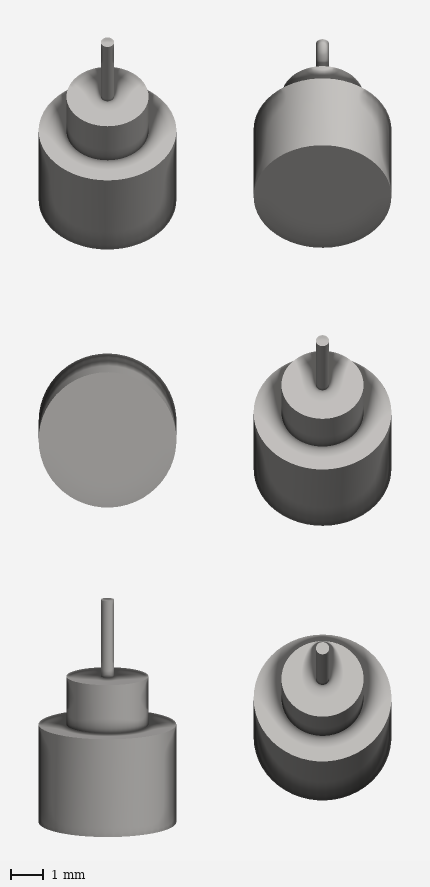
import cadquery as cq

total_height = 6.95
body_diameter = 4.2
body_height = 3.05
collar_diameter = 2.5
collar_height = 1.5
pin_diameter = 0.4
pin_height = total_height - body_height - collar_height


def add_cylinder(part, diameter, height):
    """Stack a coaxial cylinder on the top face of the part."""
    return part.faces(">Z").workplane().circle(diameter / 2).extrude(height)


body = cq.Workplane("XY").circle(body_diameter / 2).extrude(body_height)
body_with_collar = add_cylinder(body, collar_diameter, collar_height)
result = add_cylinder(body_with_collar, pin_diameter, pin_height)